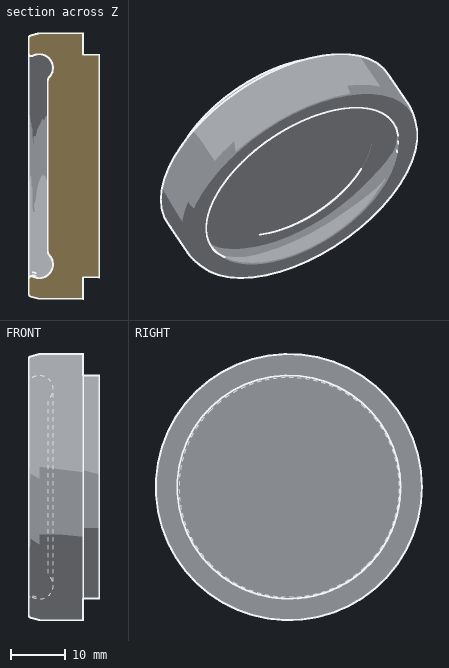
import cadquery as cq
import math

BODY_RADIUS = 48.9 / 2
BODY_LENGTH = 10.0
SPIGOT_RADIUS = 41.0 / 2
SPIGOT_LENGTH = 3.0

TAPER_LENGTH = 2.0
TAPER_ANGLE = math.radians(15.0)
TAPER_DROP = TAPER_LENGTH * math.tan(TAPER_ANGLE)

PAD_DEPTH = 3.5
GROOVE_CENTER_RADIUS = 18.05
GROOVE_CENTER_DEPTH = 1.95
GROOVE_ARC_RADIUS = 2.5

EDGE_FILLET = 0.5
PAD_FILLET = 1.0


def groove_half_width(depth):
    """Half width of the groove's circular section at a given depth."""
    return math.sqrt(GROOVE_ARC_RADIUS**2 - (depth - GROOVE_CENTER_DEPTH) ** 2)


PAD_RADIUS = GROOVE_CENTER_RADIUS - groove_half_width(PAD_DEPTH)
RECESS_RADIUS = GROOVE_CENTER_RADIUS + groove_half_width(0.0)
FRONT_RADIUS = BODY_RADIUS - TAPER_DROP


def make_body():
    """Revolve the half section (X along the axis, Y as radius) about X."""
    groove_bottom = (GROOVE_CENTER_DEPTH + GROOVE_ARC_RADIUS, GROOVE_CENTER_RADIUS)
    total_length = BODY_LENGTH + SPIGOT_LENGTH
    section = (
        cq.Workplane("XY")
        .moveTo(PAD_DEPTH, 0)
        .lineTo(PAD_DEPTH, PAD_RADIUS)
        .threePointArc(groove_bottom, (0, RECESS_RADIUS))
        .lineTo(0, FRONT_RADIUS)
        .lineTo(TAPER_LENGTH, BODY_RADIUS)
        .lineTo(BODY_LENGTH, BODY_RADIUS)
        .lineTo(BODY_LENGTH, SPIGOT_RADIUS)
        .lineTo(total_length, SPIGOT_RADIUS)
        .lineTo(total_length, 0)
        .close()
    )
    return section.revolve(360, (0, 0, 0), (1, 0, 0))


def round_edges(body):
    """Round both edges of the front rim and the edge of the recessed pad."""
    rim_rounded = body.faces("<X").edges().fillet(EDGE_FILLET)
    pad_face = rim_rounded.faces("-X").faces(">X")
    return pad_face.edges().fillet(PAD_FILLET)


result = round_edges(make_body())